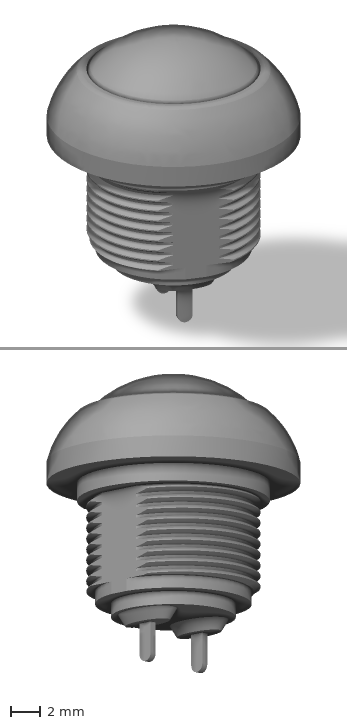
import cadquery as cq
import math

FLANGE_TOP = 1.48
RIM_Z = 5.0
COLLAR_BOTTOM = -1.25
THREAD_BOTTOM = -7.65
BAND_BOTTOM = -8.52
BASE_BOTTOM = -9.45
BOSS_BOTTOM = -10.25
PIN_TIP = -12.95

FLANGE_DIAMETER = 17.5
BEZEL_ARC_RADIUS = 6.76
RIM_DIAMETER = 13.05
RIM_FILLET = 0.53
RECESS_DIAMETER = 12.0

COLLAR_DIAMETER = 13.3
COLLAR_FLAT_Y = -6.15

THREAD_DIAMETER = 12.0
THREAD_PITCH = 0.75
THREAD_DEPTH = 0.4
THREAD_CREST_WIDTH = THREAD_PITCH / 8
THREAD_CREST_Z = -1.58
THREAD_ROOT_OVERLAP = 0.1
FLANK_SLOPE = math.tan(math.radians(30))
BARREL_WIDTH = 10.7
BAND_DIAMETER = 10.8
BASE_DIAMETER = 8.6

TERMINAL_SPACING = 5.08
BOSS_TOP_X = 2.7
BOSS_TOP_Y = 5.05
BOSS_INSET = 0.51
PIN_THICKNESS = 0.5
PIN_WIDTH = 1.07

BUTTON_DIAMETER = 11.8
DOME_HEIGHT = 2.55
DOME_EDGE_FILLET = 0.5


def disc(diameter, bottom, top):
    return cq.Workplane("XY").workplane(offset=bottom).circle(diameter / 2).extrude(top - bottom)


def arc_middle(start, end, radius):
    """Middle point (x, z) of a shallow arc that bulges up and outward between two points."""
    dx = end[0] - start[0]
    dz = end[1] - start[1]
    chord = math.hypot(dx, dz)
    rise = radius - math.sqrt(radius**2 - (chord / 2) ** 2)
    return (
        (start[0] + end[0]) / 2 + rise * dz / chord,
        (start[1] + end[1]) / 2 - rise * dx / chord,
    )


def make_bezel():
    shoulder = (FLANGE_DIAMETER / 2, FLANGE_TOP)
    rim = (RIM_DIAMETER / 2, RIM_Z)
    bezel = (
        cq.Workplane("XZ")
        .lineTo(FLANGE_DIAMETER / 2, 0)
        .lineTo(*shoulder)
        .threePointArc(arc_middle(shoulder, rim, BEZEL_ARC_RADIUS), rim)
        .lineTo(0, RIM_Z)
        .close()
        .revolve(360, (0, 0, 0), (0, 1, 0))
        .faces(">Z")
        .edges()
        .fillet(RIM_FILLET)
    )
    return bezel.cut(disc(RECESS_DIAMETER, FLANGE_TOP, RIM_Z))


def make_collar():
    collar = disc(COLLAR_DIAMETER, COLLAR_BOTTOM, 0)
    beyond_flat = (
        cq.Workplane("XY")
        .workplane(offset=COLLAR_BOTTOM)
        .center(0, COLLAR_FLAT_Y - COLLAR_DIAMETER / 2)
        .rect(COLLAR_DIAMETER, COLLAR_DIAMETER)
        .extrude(-COLLAR_BOTTOM)
    )
    return collar.cut(beyond_flat)


def flat_sided_block(bottom, top):
    """Block whose -X and +X faces are the flats of the barrel; it is wider than the barrel along Y."""
    return (
        cq.Workplane("XY")
        .workplane(offset=bottom)
        .rect(BARREL_WIDTH, FLANGE_DIAMETER)
        .extrude(top - bottom)
    )


def make_thread_ridge():
    """Helical ridge that starts below the threaded length and ends above it."""
    crest_radius = THREAD_DIAMETER / 2
    inner_radius = crest_radius - THREAD_DEPTH - THREAD_ROOT_OVERLAP
    crest_half = THREAD_CREST_WIDTH / 2
    inner_half = crest_half + (THREAD_DEPTH + THREAD_ROOT_OVERLAP) * FLANK_SLOPE
    turns_below = math.ceil((THREAD_CREST_Z - THREAD_BOTTOM) / THREAD_PITCH) + 1
    turns = turns_below + 2
    start_z = THREAD_CREST_Z - turns_below * THREAD_PITCH
    helix = cq.Wire.makeHelix(THREAD_PITCH, turns * THREAD_PITCH, crest_radius, cq.Vector(0, 0, start_z))
    return (
        cq.Workplane("XZ")
        .moveTo(inner_radius, start_z - inner_half)
        .lineTo(crest_radius, start_z - crest_half)
        .lineTo(crest_radius, start_z + crest_half)
        .lineTo(inner_radius, start_z + inner_half)
        .close()
        .sweep(cq.Workplane(obj=helix), isFrenet=True)
    )


def make_barrel():
    thread_core = disc(THREAD_DIAMETER - 2 * THREAD_DEPTH, THREAD_BOTTOM, COLLAR_BOTTOM)
    thread_ridge = make_thread_ridge().intersect(flat_sided_block(THREAD_BOTTOM, COLLAR_BOTTOM))
    band = disc(BAND_DIAMETER, BAND_BOTTOM, THREAD_BOTTOM)
    barrel_core = thread_core.union(band).intersect(flat_sided_block(BAND_BOTTOM, COLLAR_BOTTOM))
    return barrel_core.union(thread_ridge)


def make_terminal(x):
    boss = (
        cq.Workplane("XY")
        .workplane(offset=BASE_BOTTOM)
        .center(x, 0)
        .ellipse(BOSS_TOP_X / 2, BOSS_TOP_Y / 2)
        .workplane(offset=BOSS_BOTTOM - BASE_BOTTOM)
        .ellipse(BOSS_TOP_X / 2 - BOSS_INSET, BOSS_TOP_Y / 2 - BOSS_INSET)
        .loft()
    )
    half_width = PIN_WIDTH / 2
    round_start = PIN_TIP + half_width
    pin = (
        cq.Workplane("YZ")
        .workplane(offset=x - PIN_THICKNESS / 2)
        .moveTo(-half_width, BOSS_BOTTOM)
        .lineTo(-half_width, round_start)
        .threePointArc((0, PIN_TIP), (half_width, round_start))
        .lineTo(half_width, BOSS_BOTTOM)
        .close()
        .extrude(PIN_THICKNESS)
    )
    return boss.union(pin)


def make_housing():
    housing = make_bezel().union(make_collar()).union(make_barrel())
    housing = housing.union(disc(BASE_DIAMETER, BASE_BOTTOM, BAND_BOTTOM))
    for side in (-1, 1):
        housing = housing.union(make_terminal(side * TERMINAL_SPACING / 2))
    return housing


def make_button():
    """Domed button that stands on the floor of the bezel recess."""
    radius = BUTTON_DIAMETER / 2
    dome_radius = (radius**2 + DOME_HEIGHT**2) / (2 * DOME_HEIGHT)
    edge = (radius, RIM_Z)
    apex = (0, RIM_Z + DOME_HEIGHT)
    body = (
        cq.Workplane("XZ")
        .moveTo(0, FLANGE_TOP)
        .lineTo(radius, FLANGE_TOP)
        .lineTo(*edge)
        .threePointArc(arc_middle(edge, apex, dome_radius), apex)
        .close()
        .revolve(360, (0, 0, 0), (0, 1, 0))
    )
    dome_edge = body.edges("%CIRCLE").edges(cq.selectors.RadiusNthSelector(0)).edges(">Z")
    return dome_edge.fillet(DOME_EDGE_FILLET)


housing = make_housing()
button = make_button()
result = cq.Compound.makeCompound([housing.solids().val(), button.solids().val()])